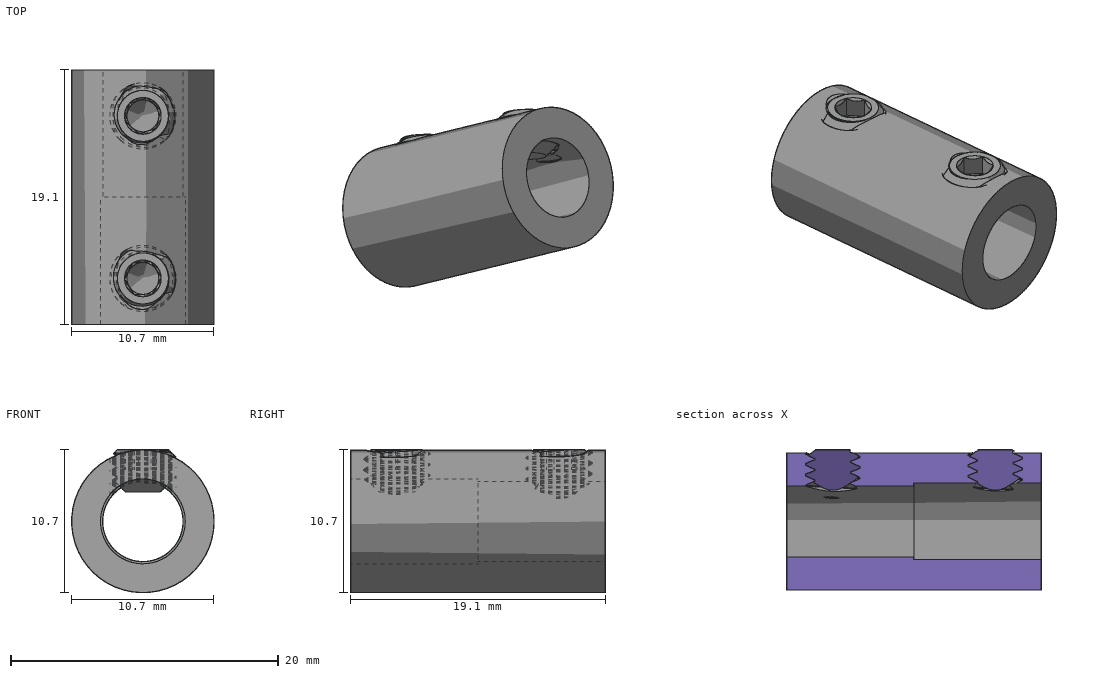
import cadquery as cq
import math

SLEEVE_LENGTH = 19.05
SLEEVE_DIAMETER = 10.67
FRONT_BORE_DIAMETER = 6.35
REAR_BORE_DIAMETER = 6.0
SCREW_END_OFFSET = 3.45
SCREW_Y = SLEEVE_LENGTH / 2 - SCREW_END_OFFSET

THREAD_MAJOR_DIAMETER = 4.95
THREAD_ROOT_DIAMETER = 3.85
THREAD_PITCH = 0.8
CREST_WIDTH = 0.05
FLANK_HALF_ANGLE = math.radians(30)
ROOT_OVERLAP = 0.04
MAJOR_RADIUS = THREAD_MAJOR_DIAMETER / 2
ROOT_RADIUS = THREAD_ROOT_DIAMETER / 2

SCREW_LENGTH = 3.18
SCREW_PROTRUSION = 0.04
SCREW_TOP_Z = SLEEVE_DIAMETER / 2 + SCREW_PROTRUSION
SCREW_BOTTOM_Z = SCREW_TOP_Z - SCREW_LENGTH
SCREW_FACE_DIAMETER = 3.81
SCREW_TIP_DIAMETER = 2.6
ENVELOPE_CLEARANCE = 0.2
SOCKET_ACROSS_FLATS = 2.38
SOCKET_ACROSS_CORNERS = SOCKET_ACROSS_FLATS / math.cos(math.radians(30))
SOCKET_DEPTH = 1.49
SOCKET_TURN = 17.0
LEAD_IN_HALF_ANGLE = math.radians(45)
SOCKET_DRILL_HALF_ANGLE = math.radians(59)

CREST_DROP = 0.38
CREST_Z = SLEEVE_DIAMETER / 2 - CREST_DROP
TURNS_ABOVE_CREST = 2

SCREWS = [(-SCREW_Y, 46.0), (SCREW_Y, 0.0)]


def make_thread_rod():
    """Threaded rod on the Z axis, reaching past both ends of a set screw."""
    turns_below = math.ceil((CREST_Z - SCREW_BOTTOM_Z) / THREAD_PITCH) + 1
    start_z = CREST_Z - turns_below * THREAD_PITCH
    height = (turns_below + TURNS_ABOVE_CREST) * THREAD_PITCH

    inner_radius = ROOT_RADIUS - ROOT_OVERLAP
    half_crest = CREST_WIDTH / 2
    half_base = half_crest + (MAJOR_RADIUS - inner_radius) * math.tan(FLANK_HALF_ANGLE)
    helix = cq.Wire.makeHelix(THREAD_PITCH, height, ROOT_RADIUS)
    ridge = (
        cq.Workplane("XZ")
        .polyline([
            (inner_radius, -half_base),
            (MAJOR_RADIUS, -half_crest),
            (MAJOR_RADIUS, half_crest),
            (inner_radius, half_base),
        ])
        .close()
        .sweep(cq.Workplane(helix), isFrenet=True)
    )
    core = cq.Workplane("XY").circle(ROOT_RADIUS).extrude(height)
    return core.union(ridge).translate((0, 0, start_z))


def make_screw_envelope():
    """Cylinder with 45 degree bevels that trims the threaded rod to a set screw."""
    face_radius = SCREW_FACE_DIAMETER / 2
    tip_radius = SCREW_TIP_DIAMETER / 2
    outer_radius = MAJOR_RADIUS + ENVELOPE_CLEARANCE
    return (
        cq.Workplane("XZ")
        .moveTo(0, SCREW_BOTTOM_Z)
        .lineTo(tip_radius, SCREW_BOTTOM_Z)
        .lineTo(outer_radius, SCREW_BOTTOM_Z + outer_radius - tip_radius)
        .lineTo(outer_radius, SCREW_TOP_Z - (outer_radius - face_radius))
        .lineTo(face_radius, SCREW_TOP_Z)
        .lineTo(0, SCREW_TOP_Z)
        .close()
        .revolve(360, (0, 0), (0, 1))
    )


def make_cone(top_radius, half_angle, top_z):
    """Cone pointing down, its wide end at top_z."""
    return (
        cq.Workplane("XZ")
        .moveTo(0, top_z)
        .lineTo(top_radius, top_z)
        .lineTo(0, top_z - top_radius / math.tan(half_angle))
        .close()
        .revolve(360, (0, 0), (0, 1))
    )


def make_socket():
    """Hexagon socket with a conical lead-in and a conical drilled floor."""
    hexagon = (
        cq.Workplane("XY", origin=(0, 0, SCREW_TOP_Z))
        .polygon(6, SOCKET_ACROSS_CORNERS)
        .extrude(-SOCKET_DEPTH)
        .rotate((0, 0, 0), (0, 0, 1), SOCKET_TURN)
    )
    lead_in = make_cone(SOCKET_ACROSS_CORNERS / 2, LEAD_IN_HALF_ANGLE, SCREW_TOP_Z)
    floor = make_cone(SOCKET_ACROSS_FLATS / 2, SOCKET_DRILL_HALF_ANGLE, SCREW_TOP_Z - SOCKET_DEPTH)
    return hexagon.union(lead_in).union(floor)


def place_in_sleeve(part, y, turn):
    """Turn a part about the Z axis and move it along the sleeve to y."""
    return part.rotate((0, 0, 0), (0, 0, 1), turn).translate((0, y, 0))


def make_set_screw(rod):
    """Threaded set screw on the Z axis."""
    return rod.intersect(make_screw_envelope()).cut(make_socket())


def make_sleeve(rod):
    """Stepped-bore sleeve along Y with a tapped hole for each set screw."""
    half_length = SLEEVE_LENGTH / 2
    front_face = cq.Workplane("XZ", origin=(0, -half_length, 0))
    sleeve = front_face.circle(SLEEVE_DIAMETER / 2).extrude(-SLEEVE_LENGTH)
    sleeve = sleeve.cut(front_face.circle(REAR_BORE_DIAMETER / 2).extrude(-SLEEVE_LENGTH))
    sleeve = sleeve.cut(front_face.circle(FRONT_BORE_DIAMETER / 2).extrude(-half_length))
    for y, turn in SCREWS:
        sleeve = sleeve.cut(place_in_sleeve(rod, y, turn))
    return sleeve


thread_rod = make_thread_rod()
sleeve = make_sleeve(thread_rod)
set_screw = make_set_screw(thread_rod)
set_screws = [place_in_sleeve(set_screw, y, turn) for y, turn in SCREWS]
result = cq.Compound.makeCompound([body.solids().val() for body in [sleeve, *set_screws]])